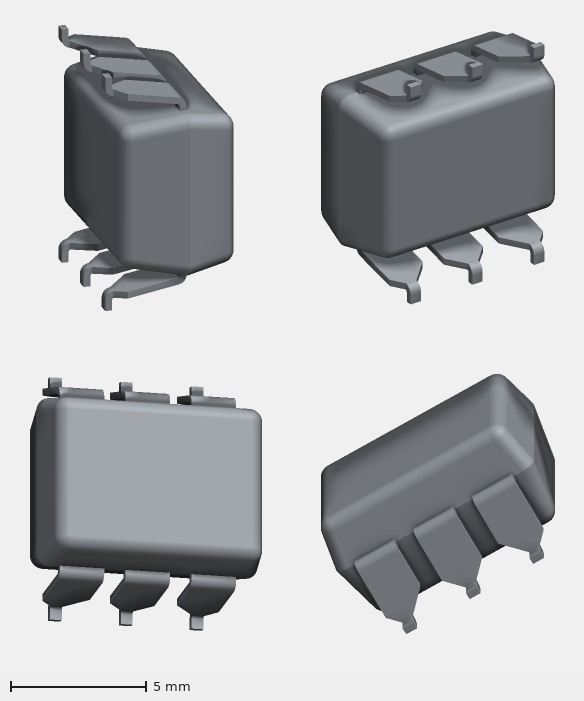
import cadquery as cq
import math

HOUSING_WIDTH = 8.51
HOUSING_HEIGHT = 6.36
BACK_DEPTH = 1.89
FRONT_DEPTH = 2.5
DRAFT_ANGLE = 10.0
EDGE_RADIUS = 0.5

LEAD_COLUMNS = (-1, 0, 1)
LEAD_SPAN = 9.16
LEAD_THICKNESS = 0.26
BLADE_WIDTH = 1.71
BLADE_PITCH = 2.54
TIP_WIDTH = 0.46
TIP_PITCH = 2.73
TIP_REACH = 2.88
SHOULDER_END = 2.565
BLADE_RISE_START = 3.51
BLADE_ANGLE = 10.0
INNER_BEND_RADIUS = 0.1


def make_housing_half(depth, side):
    """Drafted half towards +Y (side = 1) or -Y (side = -1), rounded on every edge off the parting plane."""
    plane = cq.Plane(origin=(0, 0, 0), xDir=(1, 0, 0), normal=(0, side, 0))
    half = cq.Workplane(plane).rect(HOUSING_WIDTH, HOUSING_HEIGHT).extrude(depth, taper=DRAFT_ANGLE)
    parting_edges = "<Y" if side > 0 else ">Y"
    return half.edges("not(" + parting_edges + ")").fillet(EDGE_RADIUS)


def make_housing():
    """Both halves joined, with one straight slot per lead."""
    housing = make_housing_half(BACK_DEPTH, 1).union(make_housing_half(FRONT_DEPTH, -1))
    slots = (
        cq.Workplane("XY")
        .pushPoints([(column * BLADE_PITCH, 0) for column in LEAD_COLUMNS])
        .rect(BLADE_WIDTH, LEAD_THICKNESS)
        .extrude(HOUSING_HEIGHT, both=True)
    )
    return housing.cut(slots)


def make_upper_strip():
    """Full-width upper half of a lead: up out of the housing, forward along the blade, up into the tip."""
    slope = math.radians(BLADE_ANGLE)
    bend_radius = INNER_BEND_RADIUS + LEAD_THICKNESS / 2
    setback = bend_radius * math.tan((math.pi / 2 - slope) / 2)
    setback_y = setback * math.cos(slope)
    setback_z = setback * math.sin(slope)
    tip_y = LEAD_THICKNESS / 2 - TIP_REACH
    tip_bend_z = BLADE_RISE_START - tip_y * math.tan(slope)

    path = (
        cq.Workplane("YZ")
        .lineTo(0, BLADE_RISE_START - setback)
        .tangentArcPoint((-setback_y, BLADE_RISE_START + setback_z), relative=False)
        .lineTo(tip_y + setback_y, tip_bend_z - setback_z)
        .tangentArcPoint((tip_y, tip_bend_z + setback), relative=False)
        .lineTo(tip_y, LEAD_SPAN / 2)
    )
    strip_width = 2 * BLADE_WIDTH
    return cq.Workplane("XY").rect(strip_width, LEAD_THICKNESS).sweep(path)


def make_plan_prism(blade_x, tip_x):
    """Upright prism of the plan outline: a wide blade with 45 degree shoulders to a narrow tip."""
    blade_left = blade_x - BLADE_WIDTH / 2
    blade_right = blade_x + BLADE_WIDTH / 2
    tip_left = tip_x - TIP_WIDTH / 2
    tip_right = tip_x + TIP_WIDTH / 2
    back_y = LEAD_THICKNESS
    tip_front_y = -TIP_REACH - LEAD_THICKNESS
    outline = [
        (blade_left, back_y),
        (blade_left, (tip_left - blade_left) - SHOULDER_END),
        (tip_left, -SHOULDER_END),
        (tip_left, tip_front_y),
        (tip_right, tip_front_y),
        (tip_right, -SHOULDER_END),
        (blade_right, (blade_right - tip_right) - SHOULDER_END),
        (blade_right, back_y),
    ]
    return cq.Workplane("XY").polyline(outline).close().extrude(LEAD_SPAN)


def make_lead(blade_x, tip_x):
    """One continuous lead, its lower half the mirror image of its upper half."""
    strip = make_upper_strip().translate((blade_x, 0, 0))
    upper = strip.intersect(make_plan_prism(blade_x, tip_x))
    return upper.union(upper.mirror("XY"))


housing = make_housing()
leads = [make_lead(column * BLADE_PITCH, column * TIP_PITCH) for column in LEAD_COLUMNS]

result = cq.Compound.makeCompound([housing.val(), *[lead.val() for lead in leads]])